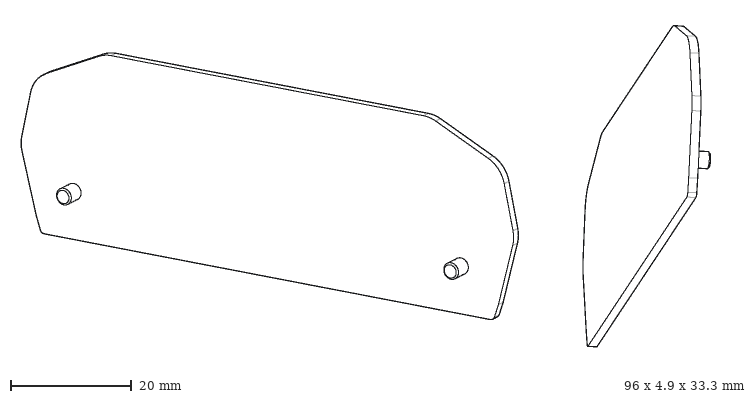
import cadquery as cq
import math

length = 96.0
height = 33.3
depth = 4.9
plate_thickness = 1.5

corner_radius = 5.6
foot_radius = 0.9
side_centre_height = 15.1
upper_side_angle = math.radians(12.2)
lower_side_angle = math.radians(14.5)
top_corner_x = length / 2 - 16.3
shoulder_height = 26.9
kink_height = 2.9
foot_x = length / 2 - 3.9

peg_spacing = 75.5
peg_height = 8.4
peg_diameter = 2.9
peg_chamfer = 0.3

side_reach = corner_radius / math.cos((upper_side_angle + lower_side_angle) / 2)
side_direction = (upper_side_angle - lower_side_angle) / 2
side_x = length / 2 - corner_radius + side_reach * math.cos(side_direction)
side_height = side_centre_height + side_reach * math.sin(side_direction)
shoulder_x = side_x - (shoulder_height - side_height) * math.tan(upper_side_angle)
kink_x = side_x - (side_height - kink_height) * math.tan(lower_side_angle)


def edges_at(x, z):
    """Select the plate's edges along Y at the mirrored corners (-x, z) and (x, z)."""
    margin = 0.1
    return cq.selectors.BoxSelector(
        (-x - margin, -margin, z - margin), (-x + margin, plate_thickness + margin, z + margin)
    ) + cq.selectors.BoxSelector(
        (x - margin, -margin, z - margin), (x + margin, plate_thickness + margin, z + margin)
    )


def make_plate():
    """Plate with its front face on Y = 0 and rounded outline corners."""
    right_side = [
        (foot_x, 0),
        (kink_x, kink_height),
        (side_x, side_height),
        (shoulder_x, shoulder_height),
        (top_corner_x, height),
    ]
    left_side = [(-x, z) for x, z in reversed(right_side)]
    plate = cq.Workplane("XZ").polyline(right_side + left_side).close().extrude(-plate_thickness)
    for x, z in [(side_x, side_height), (shoulder_x, shoulder_height), (top_corner_x, height)]:
        plate = plate.edges("|Y").edges(edges_at(x, z)).fillet(corner_radius)
    return plate.edges("|Y").edges(edges_at(foot_x, 0)).fillet(foot_radius)


def make_pegs():
    """Two round pegs pointing toward -Y, chamfered at their free ends."""
    return (
        cq.Workplane("XZ")
        .pushPoints([(-peg_spacing / 2, peg_height), (peg_spacing / 2, peg_height)])
        .circle(peg_diameter / 2)
        .extrude(depth - plate_thickness)
        .faces("<Y")
        .chamfer(peg_chamfer)
    )


result = make_plate().union(make_pegs())